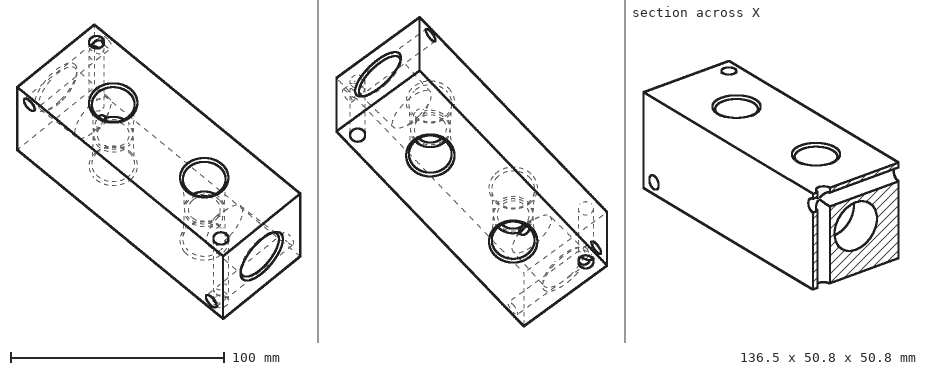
import cadquery as cq
import math

LENGTH = 136.53
WIDTH = 50.8
HEIGHT = 50.8

MOUNT_DIAMETER = 7.11
MOUNT_EDGE_DISTANCE = 6.35
MOUNT_END_DISTANCE = 7.94

DRILL_POINT_ANGLE = 118
END_MOUTH_DIAMETER = 27.9
END_BORE_DIAMETER = 25.3
END_BORE_TIP_DIAMETER = 23.9
END_BORE_DEPTH = 24.6
SIDE_MOUTH_DIAMETER = 22.6
SIDE_BORE_DIAMETER = 20.0
SIDE_BORE_TIP_DIAMETER = 18.6
SIDE_BORE_DEPTH = 24.3
SIDE_PORT_SPACING = 60.33


def port_cutter(mouth_diameter, bore_diameter, tip_diameter, depth):
    """Port void with its mouth on the XY plane, running down along -Z."""
    mouth_radius = mouth_diameter / 2
    bore_radius = bore_diameter / 2
    tip_radius = tip_diameter / 2
    countersink_depth = mouth_radius - bore_radius
    point_length = tip_radius / math.tan(math.radians(DRILL_POINT_ANGLE / 2))
    return (
        cq.Workplane("XZ")
        .moveTo(0, 0)
        .lineTo(mouth_radius, 0)
        .lineTo(bore_radius, -countersink_depth)
        .lineTo(tip_radius, -depth)
        .lineTo(0, -depth - point_length)
        .close()
        .revolve(360, (0, 0, 0), (0, 1, 0))
    )


def cut_end_ports(body):
    """One port on the axis of the block in each end face."""
    port = port_cutter(END_MOUTH_DIAMETER, END_BORE_DIAMETER, END_BORE_TIP_DIAMETER, END_BORE_DEPTH)
    for side in (-1, 1):
        turned = port.rotate((0, 0, 0), (0, 1, 0), side * 90)
        body = body.cut(turned.translate((side * LENGTH / 2, 0, 0)))
    return body


def cut_side_ports(body):
    """Two ports in the top face and two opposite them below; their drill points meet mid-height."""
    top_port = port_cutter(SIDE_MOUTH_DIAMETER, SIDE_BORE_DIAMETER, SIDE_BORE_TIP_DIAMETER, SIDE_BORE_DEPTH)
    bottom_port = top_port.rotate((0, 0, 0), (1, 0, 0), 180)
    for side in (-1, 1):
        x = side * SIDE_PORT_SPACING / 2
        body = body.cut(top_port.translate((x, 0, HEIGHT / 2)))
        body = body.cut(bottom_port.translate((x, 0, -HEIGHT / 2)))
    return body


def cut_mounting_holes(body):
    """Through holes along Y and along Z, at the upper left and lower right of each face."""
    right = LENGTH / 2 - MOUNT_END_DISTANCE
    left = -right
    offset_y = WIDTH / 2 - MOUNT_EDGE_DISTANCE
    offset_z = HEIGHT / 2 - MOUNT_EDGE_DISTANCE
    radius = MOUNT_DIAMETER / 2
    along_z = (
        cq.Workplane("XY")
        .pushPoints([(left, offset_y), (right, -offset_y)])
        .circle(radius)
        .extrude(HEIGHT / 2, both=True)
    )
    along_y = (
        cq.Workplane("XZ")
        .pushPoints([(left, offset_z), (right, -offset_z)])
        .circle(radius)
        .extrude(WIDTH / 2, both=True)
    )
    return body.cut(along_z).cut(along_y)


block = cq.Workplane("XY").box(LENGTH, WIDTH, HEIGHT)
block = cut_end_ports(block)
block = cut_side_ports(block)
result = cut_mounting_holes(block)